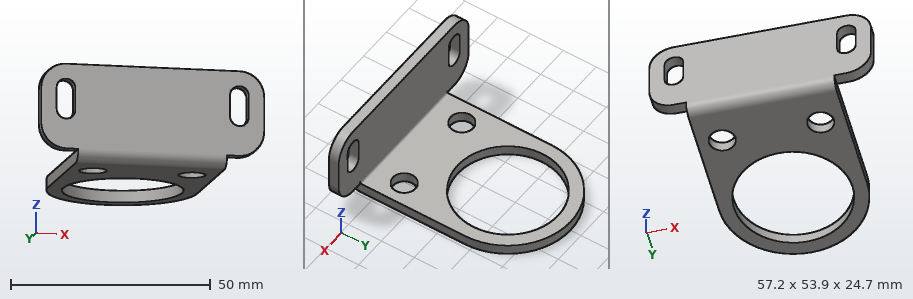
import cadquery as cq

thickness = 3.05
plate_width = 57.15
total_height = 24.65
plate_corner_radius = 6.35

ring_outer_radius = 19.1
ring_bore_radius = 15.25
total_depth = 53.85
ring_center_y = total_depth - ring_outer_radius

bend_outer_radius = 3.0
bend_inner_radius = 0.6

arm_hole_diameter = 6.8
arm_hole_spacing = 25.4
arm_hole_y = 11.95

slot_width = 4.8
slot_length = 10.2
slot_spacing = 44.45
slot_center_z = 15.7


def make_plate():
    """Upright plate with rounded corners and two vertical slots."""
    height = total_height - thickness
    plate = (
        cq.Workplane("XY")
        .box(plate_width, thickness, height, centered=(True, False, False))
        .edges("|Y")
        .fillet(plate_corner_radius)
        .translate((0, 0, thickness))
    )
    slots = (
        cq.Workplane("XZ")
        .pushPoints([(side * slot_spacing / 2, slot_center_z) for side in (-1, 1)])
        .slot2D(slot_length, slot_width, 90)
        .extrude(-thickness)
    )
    return plate.cut(slots)


def make_arm():
    """Flat arm with a round end and a rounded lower front edge."""
    arm = (
        cq.Workplane("XY")
        .box(2 * ring_outer_radius, ring_center_y, thickness, centered=(True, False, False))
        .edges("|X and <Y and <Z")
        .fillet(bend_outer_radius)
    )
    round_end = (
        cq.Workplane("XY")
        .center(0, ring_center_y)
        .circle(ring_outer_radius)
        .extrude(thickness)
    )
    return arm.union(round_end)


def make_bend_fillet():
    """Concave fillet in the inside corner between the arm and the plate."""
    r = bend_inner_radius
    return (
        cq.Workplane("YZ", origin=(-ring_outer_radius, thickness, thickness))
        .lineTo(r, 0)
        .radiusArc((0, r), r)
        .close()
        .extrude(2 * ring_outer_radius)
    )


def make_arm_holes():
    """Cutter for the large bore and the two round holes."""
    bore = cq.Workplane("XY").center(0, ring_center_y).circle(ring_bore_radius).extrude(thickness)
    holes = (
        cq.Workplane("XY")
        .pushPoints([(side * arm_hole_spacing / 2, arm_hole_y) for side in (-1, 1)])
        .circle(arm_hole_diameter / 2)
        .extrude(thickness)
    )
    return bore.union(holes)


result = make_arm().union(make_plate()).union(make_bend_fillet()).cut(make_arm_holes())